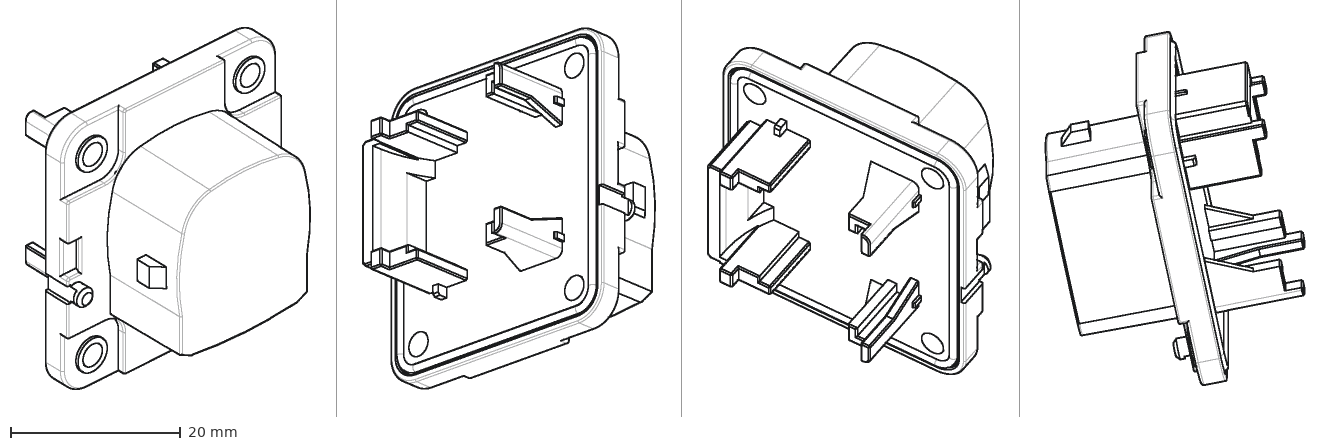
import cadquery as cq
import math


TOLERANCE = 0.0005

FLANGE_Y = 34.0
FLANGE_Z = 37.5
FLANGE_T = 4.0
FLANGE_CORNER_R = 3.98
FLANGE_EDGE_R = 0.22

BEAD_INSET = 1.65
BEAD_R = 0.5
BEAD_HEIGHT = 0.45
BEAD_GROOVE_INSET = 0.98
BEAD_GROOVE_DEPTH = 0.22
BEAD_GROOVE_EDGE = 0.2
BEVEL_SHARE = 0.99

HOLE_Y = 12.5
HOLE_Z = 14.2
HOLE_D = 3.08
SEAT_D = 4.65
SEAT_HEIGHT = 0.38
RECESS_DEPTH = 0.98
RECESS_Y = 8.05
RECESS_Z = 9.75
RECESS_FILLET_R = 3.0
OPENING_EDGE = 0.35

AXIS_Z = 1.28

POCKET_LENGTH = 4.85
POCKET_DEPTH_Y = 1.88
POCKET_DEPTH_X = 1.1
POCKET_UNDERCUT = 0.5

TETHER_Z = -3.5
TETHER_WIDTH = 2.5
TETHER_DEPTH = 0.52
PIN_R = 1.28
PIN_LENGTH = 2.05
PIN_FLAT_LENGTH = 1.05
PIN_CHAMFER = 0.45

SHELL_LENGTH = 12.22
SHELL_DRAFT = 0.7
SHELL_TOP = 13.05
SHELL_TOP_EDGE_Y = 5.45
SHELL_TOP_EDGE_Z = 12.52
SHELL_CORNER_MID_Y = 8.35
SHELL_CORNER_MID_Z = 11.02
SHELL_SIDE_TOP_Y = 9.9
SHELL_SIDE_TOP_Z = 8.1
SHELL_BULGE_Y = 10.72
SHELL_FLAT_Y = 10.25
SHELL_FLAT_TOP = -3.55
SHELL_FLAT_BOTTOM = -9.08
SHELL_FOOT_Y = 8.35
SHELL_FOOT_Z = -10.0
SHELL_BOTTOM = -10.55
SHELL_RIM_R = 0.22

LATCH_X = 10.72
LATCH_FLAT = 2.1
LATCH_RAMP = 1.42
LATCH_WIDTH = 3.05
LATCH_Y = 12.05

ARM_REACH = 8.65
TONGUE_REACH = 10.12
ARM_OUTER_Y = 10.9
ARM_INNER_Y = 4.7
TONGUE_WIDTH = 1.8
ARM_OUTER_H = 9.52
ARM_INNER_H = 7.2
ARM_STEP_H = 8.1
ARM_STEP_Y = 6.25
WALL_OUTER_Y = 13.58
WALL_INNER_Y = 11.78
WALL_HALF_H = 7.95
WALL_CHAMFER = 0.45
WEB_HALF_H = 6.98
GUSSET_START_X = -7.3
GUSSET_MID_X = -3.4
GUSSET_MID_Y = 11.2
GUSSET_ROOT_Y = 9.8
GUSSET_NOTCH_H = 5.0

POST_REACH = 8.65
BLADE_REACH = 10.65
POST_OUTER_H = 10.88
POST_OUTER_Y = -10.58
POST_INNER_Y = -6.22
POST_ROOT_Y = -3.82
POST_PLATE_T = 1.35
POST_HOOK_T = 1.25
POST_HOOK_H = 8.15
POST_FLARE_X = -5.32
BLADE_T = 1.28
BLADE_INNER_H = 7.72
BLADE_ROOT_H = 5.92
POST_CORNER_R = 0.98

TIP_CHAMFER = 0.2

NUB_LENGTH = 1.45
NUB_WIDTH = 0.82
NUB_CHAMFER = 0.3
ARM_NUB_Y = 8.4
ARM_NUB_HEIGHT = 1.35
WALL_NUB_HEIGHT = 0.3
POST_NUB_H = 8.65
POST_NUB_HEIGHT = 0.35


def block(x0, x1, y0, y1, z0, z1):
    """Box between two opposite corners."""
    size = (x1 - x0, y1 - y0, z1 - z0)
    return cq.Workplane("XY").box(*size, centered=False).translate((x0, y0, z0))


def rounded_panel(inset, x0, x1):
    """Flange-shaped panel, its outline moved inward by the inset."""
    return (
        cq.Workplane("YZ", origin=(x0, 0, 0))
        .rect(FLANGE_Y - 2 * inset, FLANGE_Z - 2 * inset)
        .extrude(x1 - x0)
        .edges("|X")
        .fillet(FLANGE_CORNER_R - inset)
    )


def both_heights(body):
    """The body together with its mirror image about the AXIS_Z plane."""
    return body.union(body.mirror("XY", (0, 0, AXIS_Z)))


def four_corners(body):
    """The body repeated in all four flange corners."""
    pair = body.union(body.mirror("XZ"))
    return pair.union(pair.mirror("XY"))


def corner_recess():
    """Cutter for one corner recess, with a rounded inner corner."""
    floor_x = FLANGE_T - RECESS_DEPTH
    cutter = block(floor_x, FLANGE_T, RECESS_Y, FLANGE_Y, RECESS_Z, FLANGE_Z)
    return cutter.edges("|X and <Y and <Z").fillet(RECESS_FILLET_R)


def edge_pocket():
    """Pocket whose inner wall leans back, so that it is deepest at its floor."""
    edge_y = -FLANGE_Y / 2
    wall_y = edge_y + POCKET_DEPTH_Y
    floor_x = FLANGE_T - POCKET_DEPTH_X
    return (
        cq.Workplane("XY", origin=(0, 0, AXIS_Z - POCKET_LENGTH / 2))
        .moveTo(floor_x, edge_y)
        .lineTo(FLANGE_T, edge_y)
        .lineTo(FLANGE_T, wall_y)
        .lineTo(floor_x, wall_y + POCKET_UNDERCUT)
        .close()
        .extrude(POCKET_LENGTH)
    )


def is_opening_edge(edge):
    """True where a recess or the pocket breaks through the flange rim."""
    middle = edge.positionAt(0.5)
    past_y = abs(middle.y) - (FLANGE_Y / 2 - FLANGE_CORNER_R)
    past_z = abs(middle.z) - (FLANGE_Z / 2 - FLANGE_CORNER_R)
    rim_gap = FLANGE_CORNER_R - math.hypot(max(past_y, 0), max(past_z, 0))
    on_rim = abs(rim_gap) < TOLERANCE
    beside_opening = FLANGE_T - POCKET_DEPTH_X - TOLERANCE < middle.x < FLANGE_T - TOLERANCE
    return on_rim and beside_opening


def bead_groove():
    """Shallow ring-shaped groove around the bead, with a bevelled outer edge."""
    outer = rounded_panel(BEAD_GROOVE_INSET, 0, BEAD_GROOVE_DEPTH)
    bevel = (
        rounded_panel(BEAD_GROOVE_INSET - BEAD_GROOVE_EDGE, 0, BEAD_GROOVE_EDGE)
        .faces(">X")
        .chamfer(BEAD_GROOVE_EDGE * BEVEL_SHARE)
    )
    return outer.union(bevel).cut(rounded_panel(BEAD_INSET, 0, BEAD_GROOVE_DEPTH))


def bead():
    """Round cord laid along the flange outline, partly sunk into the back face."""
    centre_x = BEAD_R - BEAD_HEIGHT
    path = rounded_panel(BEAD_INSET, centre_x, FLANGE_T).faces("<X").wires().val()
    start = (centre_x, 0, FLANGE_Z / 2 - BEAD_INSET)
    return cq.Workplane("XZ", origin=start).circle(BEAD_R).sweep(path)


def seats_and_holes(body):
    """Add the raised screw seats in the recesses and drill the screw holes."""
    centres = (
        cq.Workplane("YZ")
        .rect(2 * HOLE_Y, 2 * HOLE_Z, forConstruction=True)
        .vertices()
    )
    seats = centres.circle(SEAT_D / 2).extrude(FLANGE_T - RECESS_DEPTH + SEAT_HEIGHT)
    holes = centres.circle(HOLE_D / 2).extrude(FLANGE_T)
    return body.union(seats).cut(holes)


def flange():
    body = rounded_panel(0, 0, FLANGE_T)
    body = body.cut(four_corners(corner_recess())).cut(edge_pocket())
    body = body.edges().filter(is_opening_edge).fillet(OPENING_EDGE)
    body = body.faces(">X").edges().fillet(FLANGE_EDGE_R)
    body = body.faces("<X").edges().fillet(FLANGE_EDGE_R)
    body = seats_and_holes(body)
    body = body.cut(bead_groove()).union(bead())

    edge_y = -FLANGE_Y / 2
    tether_groove = block(
        0, FLANGE_T, edge_y, edge_y + TETHER_DEPTH,
        TETHER_Z - TETHER_WIDTH / 2, TETHER_Z + TETHER_WIDTH / 2,
    )
    return body.cut(tether_groove)


def tether_pin():
    """Round pin whose neck is cut flat, level with the groove floor."""
    edge_y = -FLANGE_Y / 2
    pin = (
        cq.Workplane("YZ", origin=(FLANGE_T, edge_y + PIN_R, TETHER_Z))
        .circle(PIN_R)
        .extrude(PIN_LENGTH)
        .faces(">X")
        .chamfer(PIN_CHAMFER)
    )
    flat = block(
        FLANGE_T, FLANGE_T + PIN_FLAT_LENGTH, edge_y, edge_y + TETHER_DEPTH,
        TETHER_Z - PIN_R, TETHER_Z + PIN_R,
    )
    return pin.cut(flat)


def shell():
    """Drafted connector shell with a latch bump on either side."""
    top_edge = (SHELL_TOP_EDGE_Y, SHELL_TOP_EDGE_Z)
    body = (
        cq.Workplane("YZ", origin=(FLANGE_T, 0, 0))
        .moveTo(-SHELL_TOP_EDGE_Y, SHELL_TOP_EDGE_Z)
        .threePointArc((0, SHELL_TOP), top_edge)
        .threePointArc((SHELL_CORNER_MID_Y, SHELL_CORNER_MID_Z), (SHELL_SIDE_TOP_Y, SHELL_SIDE_TOP_Z))
        .threePointArc((SHELL_BULGE_Y, AXIS_Z), (SHELL_FLAT_Y, SHELL_FLAT_TOP))
        .lineTo(SHELL_FLAT_Y, SHELL_FLAT_BOTTOM)
        .lineTo(SHELL_FOOT_Y, SHELL_FOOT_Z)
        .threePointArc((0, SHELL_BOTTOM), (-SHELL_FOOT_Y, SHELL_FOOT_Z))
        .lineTo(-SHELL_FLAT_Y, SHELL_FLAT_BOTTOM)
        .lineTo(-SHELL_FLAT_Y, SHELL_FLAT_TOP)
        .threePointArc((-SHELL_BULGE_Y, AXIS_Z), (-SHELL_SIDE_TOP_Y, SHELL_SIDE_TOP_Z))
        .threePointArc((-SHELL_CORNER_MID_Y, SHELL_CORNER_MID_Z), (-SHELL_TOP_EDGE_Y, SHELL_TOP_EDGE_Z))
        .close()
        .extrude(SHELL_LENGTH, taper=SHELL_DRAFT)
        .faces(">X")
        .edges()
        .fillet(SHELL_RIM_R)
    )
    ramp_y = LATCH_Y - LATCH_RAMP
    latch = (
        cq.Workplane("XY", origin=(0, 0, AXIS_Z - LATCH_WIDTH / 2))
        .moveTo(LATCH_X, 0)
        .lineTo(LATCH_X, LATCH_Y)
        .lineTo(LATCH_X + LATCH_FLAT, LATCH_Y)
        .lineTo(LATCH_X + LATCH_FLAT + LATCH_RAMP, ramp_y)
        .lineTo(LATCH_X + LATCH_FLAT + LATCH_RAMP, 0)
        .close()
        .extrude(LATCH_WIDTH)
    )
    return body.union(latch).union(latch.mirror("XZ"))


def arm():
    """Upper bracket arm with its tongue, inner step and stop nub."""
    outer_z = AXIS_Z + ARM_OUTER_H
    inner_z = AXIS_Z + ARM_INNER_H
    tongue_y = ARM_OUTER_Y - TONGUE_WIDTH
    body = block(-ARM_REACH, 0, ARM_INNER_Y, tongue_y + TONGUE_WIDTH / 2, inner_z, outer_z)
    body = body.cut(
        block(-ARM_REACH, 0, ARM_INNER_Y, ARM_STEP_Y, inner_z, AXIS_Z + ARM_STEP_H)
    )
    tongue = block(-TONGUE_REACH, 0, tongue_y, ARM_OUTER_Y, inner_z, outer_z)
    body = body.faces("<X or <Y").edges("not >X").chamfer(TIP_CHAMFER)
    tongue = tongue.faces("<X or <Y or >Y").edges("not >X").chamfer(TIP_CHAMFER)
    body = body.union(tongue)
    nub = block(
        -NUB_LENGTH, 0, ARM_NUB_Y - NUB_WIDTH / 2, ARM_NUB_Y + NUB_WIDTH / 2,
        outer_z, outer_z + ARM_NUB_HEIGHT,
    )
    return body.union(nub.edges("<X and >Z").chamfer(NUB_CHAMFER))


def bracket():
    """Outer wall with its curved gussets, joined to the two arms by webs."""
    wall_bottom = AXIS_Z - WALL_HALF_H
    wall = (
        cq.Workplane("XY", origin=(0, 0, wall_bottom))
        .moveTo(-ARM_REACH, WALL_OUTER_Y)
        .lineTo(-ARM_REACH, WALL_INNER_Y)
        .lineTo(GUSSET_START_X, WALL_INNER_Y)
        .threePointArc((GUSSET_MID_X, GUSSET_MID_Y), (0, GUSSET_ROOT_Y))
        .lineTo(0, WALL_OUTER_Y)
        .close()
        .extrude(2 * WALL_HALF_H)
    )
    wall = wall.edges("|X and >Y").chamfer(WALL_CHAMFER)
    wall = wall.faces("<X").edges("not <Y").chamfer(TIP_CHAMFER)
    wall = wall.cut(
        block(
            GUSSET_MID_X, 0, 0, GUSSET_MID_Y,
            AXIS_Z - GUSSET_NOTCH_H, AXIS_Z + GUSSET_NOTCH_H,
        )
    )
    web = block(
        -ARM_REACH, 0, ARM_OUTER_Y - TIP_CHAMFER, WALL_INNER_Y,
        AXIS_Z + WEB_HALF_H, AXIS_Z + WALL_HALF_H,
    )
    nub = block(
        -NUB_LENGTH, 0, WALL_OUTER_Y, WALL_OUTER_Y + WALL_NUB_HEIGHT,
        AXIS_Z - NUB_WIDTH / 2, AXIS_Z + NUB_WIDTH / 2,
    )
    nub = nub.edges("<X and >Y").chamfer(WALL_NUB_HEIGHT / 2)
    return wall.union(nub).union(both_heights(web.union(arm())))


def post():
    """Upper corner post: flared top plate, inner hook and flared outer blade."""
    outer_z = AXIS_Z + POST_OUTER_H
    blade_inner_y = POST_OUTER_Y + BLADE_T
    plate = (
        cq.Workplane("XY", origin=(0, 0, outer_z - POST_PLATE_T))
        .moveTo(0, blade_inner_y)
        .lineTo(0, POST_ROOT_Y)
        .lineTo(POST_FLARE_X, POST_INNER_Y)
        .lineTo(-POST_REACH, POST_INNER_Y)
        .lineTo(-POST_REACH, blade_inner_y)
        .close()
        .extrude(POST_PLATE_T)
    )
    hook = block(
        -POST_REACH, 0, POST_INNER_Y - POST_HOOK_T, POST_INNER_Y, AXIS_Z + POST_HOOK_H, outer_z
    )
    blade = (
        cq.Workplane("XZ", origin=(0, blade_inner_y, 0))
        .moveTo(0, outer_z)
        .lineTo(0, AXIS_Z + BLADE_ROOT_H)
        .lineTo(POST_FLARE_X, AXIS_Z + BLADE_INNER_H)
        .lineTo(-BLADE_REACH, AXIS_Z + BLADE_INNER_H)
        .lineTo(-BLADE_REACH, outer_z)
        .close()
        .extrude(BLADE_T)
    )
    blade = blade.edges("|X and >Z and <Y").fillet(POST_CORNER_R)
    lower_edges = blade.faces("<Z or -Z").edges("not |Y").vals()
    tip_edges = blade.faces("<X").edges().vals()
    blade = blade.newObject(lower_edges + tip_edges).chamfer(TIP_CHAMFER)
    inner = plate.union(hook).faces("<X").chamfer(TIP_CHAMFER)
    body = inner.union(blade)
    nub = block(
        -NUB_LENGTH, 0, POST_OUTER_Y - POST_NUB_HEIGHT, POST_OUTER_Y,
        AXIS_Z + POST_NUB_H - NUB_WIDTH / 2, AXIS_Z + POST_NUB_H + NUB_WIDTH / 2,
    )
    return body.union(nub.edges("<X and <Y").chamfer(POST_NUB_HEIGHT / 2))


result = (
    flange()
    .union(tether_pin())
    .union(shell())
    .union(bracket())
    .union(both_heights(post()))
)